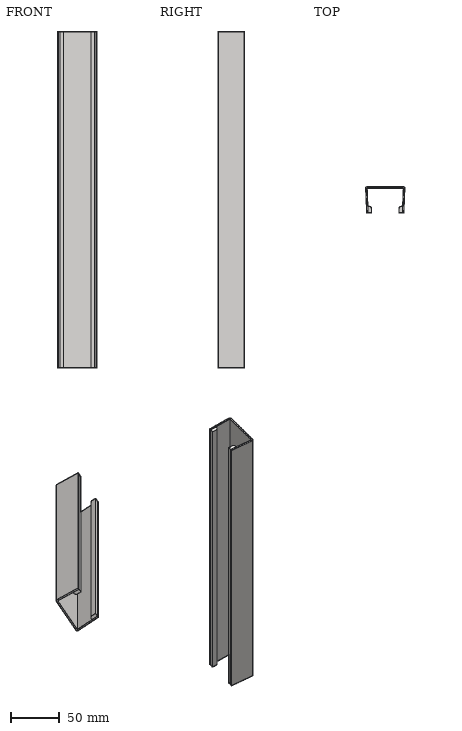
import cadquery as cq

LENGTH = 346.0
WIDTH = 40.5
DEPTH = 27.0
WALL = 1.65
LEG_LEAN = 1.15
CORNER_RADIUS = 1.7
STRIP_HEIGHT = 7.0
STRIP_WIDTH = 3.5
STRIP_RADIUS = 2.8

back_y = DEPTH / 2
tip_y = -DEPTH / 2
web_y = back_y - WALL
outer_x = WIDTH / 2 + LEG_LEAN * CORNER_RADIUS / DEPTH
tip_outer_x = outer_x - LEG_LEAN
tip_inner_x = tip_outer_x - WALL
strip_inner_x = tip_inner_x - STRIP_WIDTH
strip_top_y = tip_y + STRIP_HEIGHT


def leg_inner_x(y):
    """X of the +X leg's leaning inner face at position y."""
    return tip_inner_x + LEG_LEAN * (y - tip_y) / DEPTH


def extrude_profile(points):
    """Closed XY outline extruded to the full length, centred on Z."""
    return cq.Workplane("XY").polyline(points).close().extrude(LENGTH / 2, both=True)


def make_channel():
    """U-shaped channel, open toward -Y, with legs leaning inward."""
    right_half = [
        (outer_x, back_y),
        (tip_outer_x, tip_y),
        (tip_inner_x, tip_y),
        (leg_inner_x(web_y), web_y),
    ]
    left_half = [(-x, y) for x, y in reversed(right_half)]
    channel = extrude_profile(right_half + left_half)
    return channel.edges("|Z and >Y").fillet(CORNER_RADIUS)


def make_strip(side):
    """Strip seated on the inner face of one leg; side is +1 or -1 along X."""
    outline = [
        (leg_inner_x(tip_y), tip_y),
        (leg_inner_x(strip_top_y), strip_top_y),
        (strip_inner_x, strip_top_y),
        (strip_inner_x, tip_y),
    ]
    strip = extrude_profile([(side * x, y) for x, y in outline])
    inner_side = "<X" if side > 0 else ">X"
    return strip.faces(inner_side).edges("|Z and >Y").fillet(STRIP_RADIUS)


channel = make_channel()
strips = [make_strip(side) for side in (-1, 1)]

result = cq.Compound.makeCompound([channel.val(), *[strip.val() for strip in strips]])